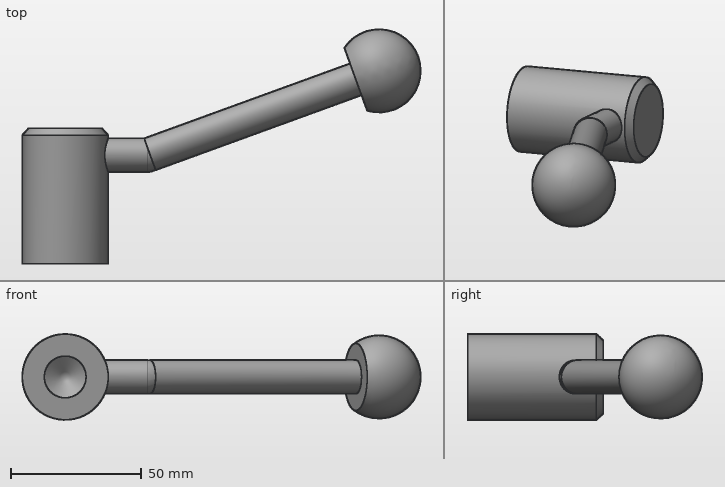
import cadquery as cq
import math

HUB_DIAMETER = 33.0
HUB_LENGTH = 52.0
HUB_CHAMFER_LENGTH = 2.7
HUB_CHAMFER_INSET = 2.5

HOLE_DIAMETER = 16.0
HOLE_DEPTH = 32.0
DRILL_POINT_ANGLE = 118.0

ROD_DIAMETER = 13.0
ROD_SETBACK = 10.4
STUB_LENGTH = 15.0
BEND_ANGLE = 20.0
ARM_START_OFFSET = 1.0
BEND_TO_BALL = 94.42

BALL_DIAMETER = 32.0
BALL_FLAT_DISTANCE = 9.5

hub_radius = HUB_DIAMETER / 2
hole_radius = HOLE_DIAMETER / 2
rod_radius = ROD_DIAMETER / 2
ball_radius = BALL_DIAMETER / 2

bend_radians = math.radians(BEND_ANGLE)
arm_direction = cq.Vector(math.cos(bend_radians), math.sin(bend_radians), 0)
hub_axis_point = cq.Vector(0, -ROD_SETBACK, 0)
bend_point = cq.Vector(hub_radius + STUB_LENGTH, -ROD_SETBACK, 0)
arm_start = bend_point + arm_direction * ARM_START_OFFSET
ball_center = bend_point + arm_direction * BEND_TO_BALL


def revolve_about_y(profile):
    """Turn a closed half-profile (radius, y) around the Y axis."""
    return cq.Workplane("XY").polyline(profile).close().revolve(360, (0, 0, 0), (0, 1, 0))


def rod_between(start, end):
    """Round rod with its axis running from start to end."""
    axis = end - start
    return cq.Workplane(cq.Solid.makeCylinder(rod_radius, axis.Length, start, axis))


def make_hub():
    """Cylinder with a chamfered rear rim."""
    return revolve_about_y([
        (0, -HUB_LENGTH),
        (hub_radius, -HUB_LENGTH),
        (hub_radius, -HUB_CHAMFER_LENGTH),
        (hub_radius - HUB_CHAMFER_INSET, 0),
        (0, 0),
    ])


def make_hole():
    """Blind hole with a conical end, on the hub axis."""
    point_length = hole_radius / math.tan(math.radians(DRILL_POINT_ANGLE / 2))
    hole_end = HOLE_DEPTH - HUB_LENGTH
    return revolve_about_y([
        (0, -HUB_LENGTH),
        (hole_radius, -HUB_LENGTH),
        (hole_radius, hole_end),
        (0, hole_end + point_length),
    ])


def make_rod():
    """Stub and arm, joined by a ball elbow of the rod's own diameter centred on the bend.

    The arm starts slightly beyond the elbow centre, so its end rim stands just proud of the elbow.
    """
    stub = rod_between(hub_axis_point, bend_point)
    arm = rod_between(arm_start, ball_center)
    elbow = cq.Workplane("XY").sphere(rod_radius).translate(bend_point)
    return stub.union(elbow).union(arm)


def make_ball():
    """Sphere cut flat on the rod side; its local Z axis runs along the arm."""
    arm_plane = cq.Plane(origin=ball_center.toTuple(), xDir=(0, 0, 1), normal=arm_direction.toTuple())
    kept_side = (
        cq.Workplane(arm_plane)
        .workplane(offset=-BALL_FLAT_DISTANCE)
        .circle(BALL_DIAMETER)
        .extrude(BALL_DIAMETER)
    )
    return cq.Workplane(arm_plane).sphere(ball_radius).intersect(kept_side)


result = make_hub().union(make_rod()).union(make_ball()).cut(make_hole())